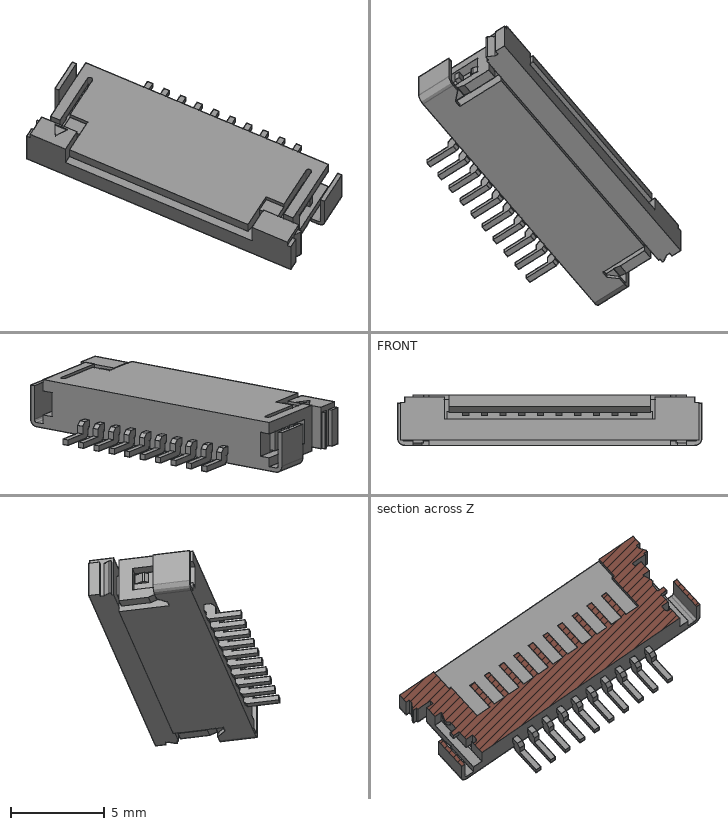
import cadquery as cq
import math


height = 2.7
housing_half = 7.34
housing_front = 1.52
housing_rear = 5.57
core_half = 6.47
core_front = 1.32

plate_half = 5.4
lip_z = 2.1
lip_ramp_rear = 0.98
roof_z = 1.78
step_rear = 2.1
step_z = 2.46

slot_outer = 6.76
slot_rear = 4.81
recess_front = 2.25
recess_bottom = 0.73
recess_top = 2.07

wall_bottom = 0.15
wall_relief_start = 3.13
wall_relief_z = 0.31

cavity_half = 5.51
cavity_roof = 1.83
cavity_rear = 3.59

slider_half = 7.78
slider_rear = core_front
slider_bottom = 0.3
slider_top = 2.6
opening_half = 5.64
opening_floor = 1.42

rib_half = 7.99
rib_top = 2.31
front_rib_rear = 0.59
rear_rib_rear = 1.22
rear_rib_flat = 1.12
rear_rib_toe = 0.78

arm_outer = 6.91
arm_rear = 4.4
arm_bottom = 0.78
arm_top = 1.95
catch_bottom = 1.34
catch_top = 1.9
bump_height = 0.16
bump_front = 2.3
bump_flat_front = 2.75
bump_flat_rear = 2.87
bump_rear = 3.03
stop_outer = 7.3
stop_front = 3.5
stop_rear = 3.8

clip_half = 8.15
clip_thickness = 0.25
clip_outer_radius = 0.39
clip_top = 2.27
clip_front = 3.57
foot_shoulder = 6.85
foot_taper = 0.5

contact_count = 10
contact_pitch = 1.0
contact_width = 0.33
contact_end = 7.6
contact_thickness = 0.31
contact_exit_z = 0.95
riser_rear = 6.2
riser_front = 5.69
outer_bend = 0.21
inner_bend = 0.15
contact_root = 4.89
contact_root_height = 0.37
tip_front = 1.63
tip_ramp = 0.25
tip_bottom = 1.61

arrow_x = -6.54
arrow_half_width = 0.39
arrow_base_y = 1.22
arrow_point_y = 0.54
arrow_depth = 0.08


def block(x0, x1, y0, y1, z0, z1):
    """Box between two opposite corners."""
    return cq.Workplane("XY").box(x1 - x0, y1 - y0, z1 - z0, centered=False).translate((x0, y0, z0))


def centred_block(half_width, y0, y1, z0, z1):
    """Box centred on X = 0."""
    return block(-half_width, half_width, y0, y1, z0, z1)


def plan_prism(points, z0, z1):
    """Outline in X and Y raised from z0 to z1."""
    return cq.Workplane("XY").workplane(offset=z0).polyline(points).close().extrude(z1 - z0)


def side_prism(points, x0, x1):
    """Outline in Y and Z extended from x0 to x1."""
    return cq.Workplane("YZ").workplane(offset=x0).polyline(points).close().extrude(x1 - x0)


def both_sides(left_shape):
    """Left-hand shape joined to its mirror image."""
    return left_shape.union(left_shape.mirror("YZ"))


def make_side_cuts():
    """Slot, side recess, top step and underside relief at the left end of the housing."""
    slot_width = slot_outer - core_half
    slot_radius = slot_width / 2
    slot_end_centre = slot_rear - slot_radius
    slot = block(-slot_outer, -core_half, 0, slot_end_centre, 0, height)
    slot_end = cq.Workplane("XY").circle(slot_radius).extrude(height)
    slot_end = slot_end.translate((-slot_outer + slot_radius, slot_end_centre, 0))
    recess = block(-housing_half, -slot_outer, recess_front, housing_rear, recess_bottom, recess_top)
    step = block(-core_half, -plate_half, 0, step_rear, step_z, height)
    relief = side_prism(
        [
            (wall_relief_start, wall_bottom),
            (clip_front, wall_relief_z),
            (clip_front, clip_thickness),
            (housing_rear, clip_thickness),
            (housing_rear, wall_bottom),
        ],
        -housing_half,
        -slot_outer,
    )
    return slot.union(slot_end).union(recess).union(step).union(relief)


def make_housing():
    """Core, side walls and overhanging top plate with a ramped lip, hollowed for the cable."""
    core = centred_block(core_half, core_front, housing_rear, 0, height)
    walls = centred_block(housing_half, housing_front, housing_rear, wall_bottom, height)
    body = core.union(walls).cut(both_sides(make_side_cuts()))
    cavity = centred_block(cavity_half, core_front, cavity_rear, opening_floor, cavity_roof)
    roof = side_prism(
        [
            (0, height),
            (cavity_rear, height),
            (cavity_rear, roof_z),
            (lip_ramp_rear, roof_z),
            (0, lip_z),
        ],
        -plate_half,
        plate_half,
    )
    return body.cut(cavity).union(roof)


def make_arm():
    """Left slider arm with its ramped bump and its square stop."""
    arm = block(-arm_outer, -core_half, slider_rear, arm_rear, arm_bottom, arm_top)
    bump_outer = arm_outer + bump_height
    bump = plan_prism(
        [
            (-arm_outer, bump_front),
            (-bump_outer, bump_flat_front),
            (-bump_outer, bump_flat_rear),
            (-arm_outer, bump_rear),
        ],
        catch_bottom,
        catch_top,
    )
    stop = block(-stop_outer, -arm_outer, stop_front, stop_rear, catch_bottom, catch_top)
    return arm.union(bump).union(stop)


def make_grip_ribs():
    """Square front rib and ramped rear rib on the left end of the slider."""
    front_rib = block(-rib_half, -slider_half, 0, front_rib_rear, slider_bottom, rib_top)
    rear_rib = plan_prism(
        [
            (-slider_half, rear_rib_rear),
            (-rib_half, rear_rib_rear),
            (-rib_half, rear_rib_flat),
            (-slider_half, rear_rib_toe),
        ],
        slider_bottom,
        rib_top,
    )
    return front_rib.union(rear_rib)


def make_slider():
    """Bar with the cable opening, grip ribs, arms and the engraved arrow."""
    bar = centred_block(slider_half, 0, slider_rear, slider_bottom, slider_top)
    opening = centred_block(opening_half, 0, slider_rear, opening_floor, slider_top)
    arrow = plan_prism(
        [
            (arrow_x - arrow_half_width, arrow_base_y),
            (arrow_x + arrow_half_width, arrow_base_y),
            (arrow_x, arrow_point_y),
        ],
        slider_top - arrow_depth,
        slider_top,
    )
    ends = both_sides(make_grip_ribs().union(make_arm()))
    return bar.cut(opening).cut(arrow).union(ends)


def make_clip():
    """Left bent-sheet clip: upright leg, rounded bend and a tapered foot reaching the core."""
    bend_x = -clip_half + clip_outer_radius
    bend_z = clip_outer_radius
    inner_radius = clip_outer_radius - clip_thickness
    diagonal = math.sqrt(0.5)
    outer_mid = (bend_x - clip_outer_radius * diagonal, bend_z - clip_outer_radius * diagonal)
    inner_mid = (bend_x - inner_radius * diagonal, bend_z - inner_radius * diagonal)
    bent_sheet = (
        cq.Workplane("XZ")
        .moveTo(-clip_half, clip_top)
        .lineTo(-clip_half, bend_z)
        .threePointArc(outer_mid, (bend_x, 0))
        .lineTo(-housing_half, 0)
        .lineTo(-housing_half, clip_thickness)
        .lineTo(bend_x, clip_thickness)
        .threePointArc(inner_mid, (-clip_half + clip_thickness, bend_z))
        .lineTo(-clip_half + clip_thickness, clip_top)
        .close()
        .extrude(clip_front - housing_rear)
        .translate((0, clip_front, 0))
    )
    foot = plan_prism(
        [
            (-housing_half, clip_front),
            (-foot_shoulder, clip_front + foot_taper),
            (-core_half, clip_front + foot_taper),
            (-core_half, housing_rear),
            (-housing_half, housing_rear),
        ],
        0,
        clip_thickness,
    )
    return bent_sheet.union(foot)


def make_contact(centre_x):
    """Solder tail behind the housing and ramped contact tip inside the cavity."""
    x0 = centre_x - contact_width / 2
    x1 = centre_x + contact_width / 2
    lower_exit_z = contact_exit_z - contact_root_height
    tail = side_prism(
        [
            (contact_end, 0),
            (contact_end, contact_thickness),
            (riser_rear, contact_thickness),
            (riser_rear, contact_exit_z - outer_bend),
            (riser_rear - outer_bend, contact_exit_z),
            (contact_root, contact_exit_z),
            (contact_root, lower_exit_z),
            (housing_rear, lower_exit_z),
            (riser_front, lower_exit_z - (riser_front - housing_rear)),
            (riser_front, inner_bend),
            (riser_front + inner_bend, 0),
        ],
        x0,
        x1,
    )
    tip = side_prism(
        [
            (tip_front, cavity_roof),
            (tip_front + tip_ramp, tip_bottom),
            (cavity_rear, tip_bottom),
            (cavity_rear, cavity_roof),
        ],
        x0,
        x1,
    )
    return tail.union(tip)


result = make_housing().union(make_slider()).union(both_sides(make_clip()))
for index in range(contact_count):
    contact_x = (index - (contact_count - 1) / 2) * contact_pitch
    result = result.union(make_contact(contact_x))